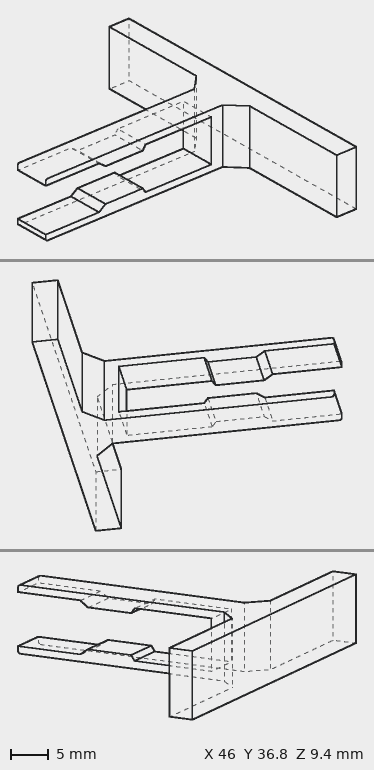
import cadquery as cq

bar_length = 46.0
bar_depth = 3.45
height = 9.4

total_depth = 36.8
stem_width = 5.7
gusset = 2.55

slot_start = 7.9
root_thickness = 1.1
bump_thickness = 1.85
end_thickness = 1.0
bump_start = 19.85
bump_end = 26.35
ramp_start = 19.35
ramp_end = 27.5

tip_radius = 0.35


def t_body():
    """T-shaped plate with 45 degree gussets in its inner corners."""
    half_bar = bar_length / 2
    half_stem = stem_width / 2
    return (
        cq.Workplane("XY")
        .moveTo(-half_bar, 0)
        .lineTo(half_bar, 0)
        .lineTo(half_bar, -bar_depth)
        .lineTo(half_stem + gusset, -bar_depth)
        .lineTo(half_stem, -bar_depth - gusset)
        .lineTo(half_stem, -total_depth)
        .lineTo(-half_stem, -total_depth)
        .lineTo(-half_stem, -bar_depth - gusset)
        .lineTo(-half_stem - gusset, -bar_depth)
        .lineTo(-half_bar, -bar_depth)
        .close()
        .extrude(height / 2, both=True)
    )


def upper_half_slot():
    """Gap above mid-height, with sloping ramps either side of the bump."""
    root_z = height / 2 - root_thickness
    bump_z = height / 2 - bump_thickness
    end_z = height / 2 - end_thickness
    return (
        cq.Workplane("YZ")
        .moveTo(-slot_start, 0)
        .lineTo(-slot_start, root_z)
        .lineTo(-ramp_start, root_z)
        .lineTo(-bump_start, bump_z)
        .lineTo(-bump_end, bump_z)
        .lineTo(-ramp_end, end_z)
        .lineTo(-total_depth, end_z)
        .lineTo(-total_depth, 0)
        .close()
        .extrude(stem_width / 2, both=True)
    )


slot = upper_half_slot()
fork = t_body().cut(slot).cut(slot.mirror("XY"))

tip_edges = fork.faces("<Y").edges("|X").edges(">Z or <Z")
result = tip_edges.fillet(tip_radius)